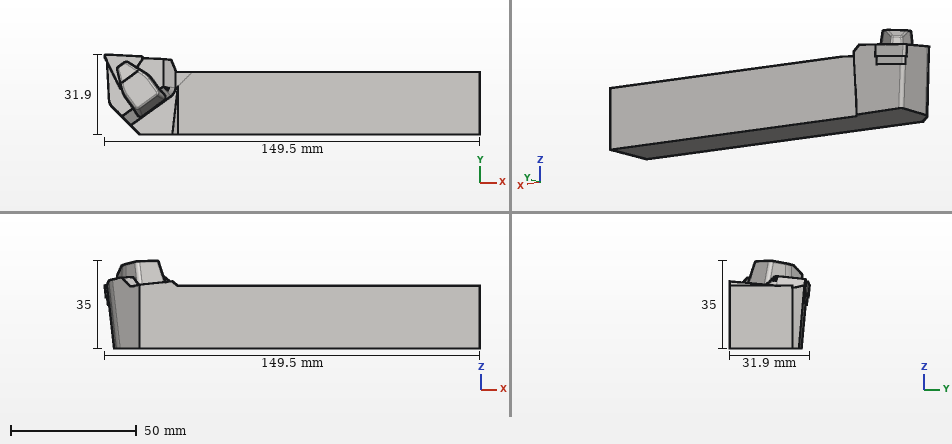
import cadquery as cq
import math


def tan(angle):
    return math.tan(math.radians(angle))


def polar(length, angle):
    a = math.radians(angle)
    return length * math.cos(a), length * math.sin(a)


SHANK = 25.0
SHANK_END_X = 149.46
NOSE_Y = 31.93

RAKE = 6.0
SEAT = cq.Plane(
    origin=(0, NOSE_Y, SHANK),
    xDir=(1, 0, tan(RAKE)),
    normal=(-tan(RAKE), tan(RAKE), 1),
)
STEP_DROP = 4.36
SLOPE = 45.0
CORNER_X = 23.7
CORNER_Y = -12.85
STEP_ANGLE = 36.0
DECK_END_X = 29.2

CLEARANCE_LEFT = 6.1
CLEARANCE_BACK = 5.0
LEFT_X = 0.8
LEFT_LEAN = 3.6
BACK_Y = 31.15
BACK_LEAN = 3.0
CUT_CORNER = 14.0
END_X = 26.6
END_ROOT_X = 28.6
HEAD_TOP = 32.0
NOSE_EDGE_RADIUS = 1.4
FRONT_EDGE_RADIUS = 5.0

INSCRIBED_CIRCLE = 9.525
INSERT_THICKNESS = 4.76
INSERT_NOSE_RADIUS = 0.8
LEAD_ANGLE = 3.0
SHIM_THICKNESS = 3.18
SHIM_INSET = 0.3

CLAMP_X = 18.35
CLAMP_Y = -19.65
CLAMP_ANGLE = 126.5
CLAMP_HEIGHT = 6.14
CLAMP_HALF_WIDTH = 7.0
CLAMP_STRAIGHT = 7.4
CLAMP_BEND_RADIUS = 10.0
CLAMP_BEND_ANGLE = 22.0
CLAMP_TIP = 19.9
CLAMP_TIP_HEIGHT = 3.0
CLAMP_RIDGE = 12.5
CLAMP_REAR_LEAN = 10.0
CLAMP_DRAFT = 7.0
CLAMP_TOP_RADIUS = 0.8
CLAMP_REAR_RADIUS = 1.5
CLAMP_TIP_RADIUS = 1.0


def head_outline(z):
    """Corners of the holder outline at height z."""
    left_x = LEFT_X + (SHANK - z) * tan(CLEARANCE_LEFT)
    back_y = BACK_Y - (SHANK - z) * tan(CLEARANCE_BACK)
    left, back = tan(LEFT_LEAN), tan(BACK_LEAN)
    nose_x = (left_x + left * (NOSE_Y - back_y)) / (1 - left * back)
    front_y = (CUT_CORNER - left_x - left * NOSE_Y) / (1 - left)
    return [
        (nose_x, back_y - back * nose_x),
        (END_X, back_y - back * END_X),
        (END_ROOT_X, SHANK),
        (SHANK_END_X, SHANK),
        (SHANK_END_X, 0),
        (CUT_CORNER, 0),
        (CUT_CORNER - front_y, front_y),
    ]


def outline_block():
    block = (
        cq.Workplane("XY").polyline(head_outline(0)).close()
        .workplane(offset=HEAD_TOP).polyline(head_outline(HEAD_TOP)).close()
        .loft(ruled=True)
    )
    mid = HEAD_TOP / 2
    corners = head_outline(mid)
    for corner, radius in ((corners[0], NOSE_EDGE_RADIUS), (corners[-1], FRONT_EDGE_RADIUS)):
        edge = cq.selectors.NearestToPointSelector((corner[0], corner[1], mid))
        block = block.edges(edge).fillet(radius)
    return block


def below_deck():
    """Everything under the lower deck and, behind it, under the shank top."""
    profile = (
        cq.Workplane("XZ")
        .polyline([
            (-SHANK, 0),
            (SHANK_END_X, 0),
            (SHANK_END_X, SHANK),
            (DECK_END_X, SHANK),
            (DECK_END_X - HEAD_TOP, SHANK + HEAD_TOP * tan(SLOPE - RAKE)),
            (-SHANK, SHANK + HEAD_TOP),
        ]).close()
        .extrude(-2 * SHANK)
    )
    reach = 3 * SHANK_END_X
    deck = cq.Workplane(SEAT).workplane(offset=-STEP_DROP).rect(reach, reach).extrude(-reach)
    return profile.intersect(deck)


def raised_seat():
    far = 2 * SHANK
    dx, dy = polar(far, STEP_ANGLE)
    return (
        cq.Workplane(SEAT)
        .polyline([
            (CORNER_X, CORNER_Y),
            (CORNER_X, far),
            (CORNER_X - dx, far),
            (CORNER_X - dx, CORNER_Y - dy),
        ]).close()
        .extrude(-STEP_DROP, taper=-SLOPE)
    )


def plate(top_depth, thickness, inset):
    """Rounded triangular plate whose top lies `top_depth` below the seat plane."""
    half_corner = 60 / 2
    middle_x, middle_y = polar(INSCRIBED_CIRCLE - 2 * INSERT_NOSE_RADIUS, -LEAD_ANGLE - half_corner)
    body = (
        cq.Workplane(SEAT)
        .center(middle_x + INSERT_NOSE_RADIUS, middle_y - INSERT_NOSE_RADIUS)
        .transformed(offset=(0, 0, -top_depth), rotate=(0, 0, half_corner - LEAD_ANGLE))
        .polygon(3, 2 * (INSCRIBED_CIRCLE - 2 * inset))
        .extrude(-thickness)
    )
    across = cq.selectors.ParallelDirSelector(SEAT.zDir)
    return body.edges(across).fillet(INSERT_NOSE_RADIUS)


def clamp():
    """Clamp finger, built with its rear at X = 0, its tip along +X and the seat plane at Z = 0."""
    bend = math.radians(CLAMP_BEND_ANGLE)

    def bend_point(angle):
        return (
            CLAMP_STRAIGHT + CLAMP_BEND_RADIUS * math.sin(angle),
            CLAMP_HALF_WIDTH - CLAMP_BEND_RADIUS * (1 - math.cos(angle)),
        )

    mid_x, mid_y = bend_point(bend / 2)
    end_x, end_y = bend_point(bend)
    tip_y = end_y - (CLAMP_TIP - end_x) * tan(CLAMP_BEND_ANGLE)
    height = STEP_DROP + CLAMP_HEIGHT
    behind = -height
    plan = (
        cq.Workplane("XY").workplane(offset=-STEP_DROP)
        .moveTo(behind, -CLAMP_HALF_WIDTH)
        .lineTo(CLAMP_STRAIGHT, -CLAMP_HALF_WIDTH)
        .threePointArc((mid_x, -mid_y), (end_x, -end_y))
        .lineTo(CLAMP_TIP, -tip_y)
        .lineTo(CLAMP_TIP, tip_y)
        .lineTo(end_x, end_y)
        .threePointArc((mid_x, mid_y), (CLAMP_STRAIGHT, CLAMP_HALF_WIDTH))
        .lineTo(behind, CLAMP_HALF_WIDTH)
        .close()
        .extrude(height, taper=CLAMP_DRAFT)
    )
    profile = (
        cq.Workplane("XZ")
        .polyline([
            (-height * tan(CLAMP_REAR_LEAN), -STEP_DROP),
            (CLAMP_TIP, -STEP_DROP),
            (CLAMP_TIP, CLAMP_TIP_HEIGHT),
            (CLAMP_RIDGE, CLAMP_HEIGHT),
            (0, CLAMP_HEIGHT),
        ]).close()
        .extrude(2 * CLAMP_HALF_WIDTH, both=True)
    )
    body = plan.intersect(profile)
    body = body.faces(">X").edges("<Y or >Y").fillet(CLAMP_TIP_RADIUS)
    body = body.faces("<X").edges("<Y or >Y").fillet(CLAMP_REAR_RADIUS)
    slope_middle = ((CLAMP_RIDGE + CLAMP_TIP) / 2, 0, (CLAMP_HEIGHT + CLAMP_TIP_HEIGHT) / 2)
    slope = body.faces(cq.selectors.NearestToPointSelector(slope_middle))
    rim = [
        edge for edge in body.faces(">Z").add(slope).edges().vals()
        if abs(edge.Center().y) > CLAMP_TIP_RADIUS / 2 or edge.Center().x < CLAMP_STRAIGHT
    ]
    body = body.newObject(rim).fillet(CLAMP_TOP_RADIUS)
    place = (
        cq.Workplane(SEAT).center(CLAMP_X, CLAMP_Y)
        .transformed(rotate=(0, 0, CLAMP_ANGLE)).plane
    )
    return body.newObject([body.val().moved(place.location)])


outline = outline_block()
insert = plate(top_depth=0, thickness=INSERT_THICKNESS, inset=0)
shim = plate(top_depth=INSERT_THICKNESS, thickness=SHIM_THICKNESS, inset=SHIM_INSET)
head = below_deck().union(raised_seat()).intersect(outline)
holder = head.union(shim).union(clamp()).cut(insert)
result = cq.Compound.makeCompound([holder.val(), insert.val()])